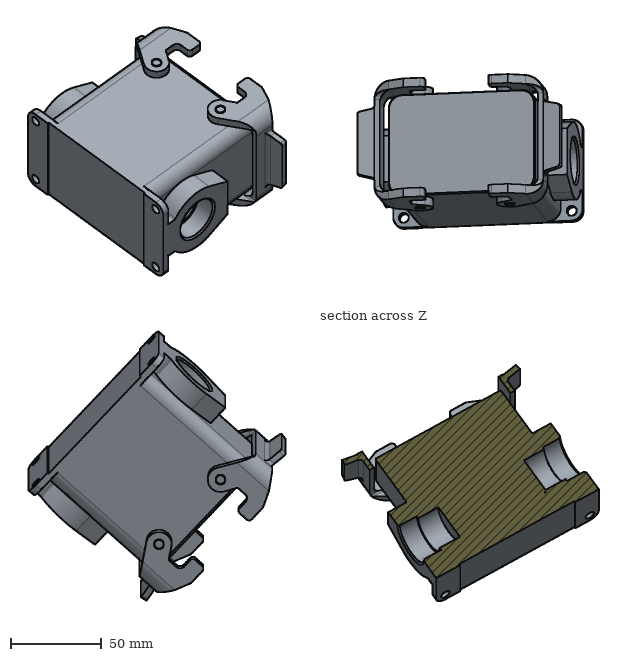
import cadquery as cq
import math

BODY_HALF_WIDTH = 41.0
HALF_DEPTH = 28.5
BODY_HEIGHT = 82.3
BODY_CORNER_RADIUS = 7.4
RIM_HEIGHT = 1.3
RIM_INSET = 0.6

FLANGE_HALF_WIDTH = 53.0
FLANGE_THICKNESS = 4.0
FLANGE_CORNER_RADIUS = 6.0
RELIEF_HALF_WIDTH = 37.5
RELIEF_DEPTH = 0.8
MOUNT_HOLE_DIAMETER = 5.5
MOUNT_HOLE_X = 47.0
MOUNT_HOLE_Z = 23.0

ENTRY_Y = 26.5
ENTRY_RADIUS = 21.5
ENTRY_TOP_Y = 49.8
ENTRY_TOP_HALF_WIDTH = 13.0
ENTRY_FOOT_HALF_WIDTH = 12.6
ENTRY_FOOT_FILLET = 1.0
BORE_DIAMETER = 25.0
BORE_DEPTH = 12.0
BORE_CHAMFER = 1.0
INNER_BORE_DIAMETER = 22.0
INNER_BORE_DEPTH = 25.0

LEVER_OUTER_X = 47.3
LEVER_HALF_DEPTH = 33.5
LEVER_BEND_RADIUS = 9.0
STRAP_THICKNESS = 3.0
STRAP_BOTTOM_Y = 77.6
STRAP_TOP_Y = 90.2
SADDLE_RADIUS = 4.0
STRAP_CORNER_RADIUS = 1.0
SHOULDER_Y = 95.9
HOOK_TOP_X = 29.3
LEVER_TOP_Y = 99.8
HOOK_TIP_X = 18.0
HOOK_UNDERSIDE_Y = 90.6
HOOK_EDGE_RADIUS = 2.0
HOOK_THROAT_X = 28.0
HOOK_THROAT_BASE_Y = 81.9
HOOK_THROAT_RADIUS = 3.0
PIVOT_X = 25.0
PIVOT_Y = 71.85
PIVOT_EYE_RADIUS = 7.0
PIN_DIAMETER = 5.0
PIN_HOLE_DIAMETER = 5.5
PIN_GROOVE_DEPTH = 0.5

GRIP_TIP_X = 57.245
GRIP_TIP_Y = 87.8
GRIP_TILT = 10.0
GRIP_THICKNESS = 3.7
GRIP_ROOT_HALF_WIDTH = 19.9
GRIP_TIP_HALF_WIDTH = 17.5
GRIP_TIP_RADIUS = 1.75
GRIP_ROOT_FILLET = 2.2


def box(x_range, y_range, z_range):
    """Axis-aligned box from (min, max) pairs."""
    size = [high - low for low, high in (x_range, y_range, z_range)]
    return cq.Workplane("XY").box(*size, centered=False).translate(
        (x_range[0], y_range[0], z_range[0])
    )


def with_mirror(right_side):
    """Add the copy of a right-hand feature on the left-hand side."""
    return right_side.union(right_side.mirror("YZ"))


def tangent_point(outside, center, radius, turn):
    """Point where a line from `outside` touches a circle; turn picks the side (+1 or -1)."""
    dx = outside[0] - center[0]
    dy = outside[1] - center[1]
    angle = math.atan2(dy, dx) + turn * math.acos(radius / math.hypot(dx, dy))
    return (center[0] + radius * math.cos(angle), center[1] + radius * math.sin(angle))


def make_body():
    depth = 2 * HALF_DEPTH
    body = (
        box((-BODY_HALF_WIDTH, BODY_HALF_WIDTH), (0, BODY_HEIGHT), (-HALF_DEPTH, HALF_DEPTH))
        .edges("|Y")
        .fillet(BODY_CORNER_RADIUS)
        .faces(">Y")
        .edges()
        .chamfer(RIM_INSET, RIM_HEIGHT)
    )
    flange = (
        box((-FLANGE_HALF_WIDTH, FLANGE_HALF_WIDTH), (0, FLANGE_THICKNESS), (-HALF_DEPTH, HALF_DEPTH))
        .edges("|Y")
        .fillet(FLANGE_CORNER_RADIUS)
    )
    relief = cq.Workplane("XY").box(2 * RELIEF_HALF_WIDTH, 2 * RELIEF_DEPTH, depth)
    return body.union(flange).cut(relief)


def make_mounting_holes():
    return (
        cq.Workplane("XZ")
        .rect(2 * MOUNT_HOLE_X, 2 * MOUNT_HOLE_Z, forConstruction=True)
        .vertices()
        .circle(MOUNT_HOLE_DIAMETER / 2)
        .extrude(-FLANGE_THICKNESS)
    )


def make_entry_boss():
    """Boss on the +X side: round, with a tapered flat-topped hood and a narrow foot."""
    side_y, side_z = tangent_point(
        (ENTRY_TOP_Y, ENTRY_TOP_HALF_WIDTH), (ENTRY_Y, 0), ENTRY_RADIUS, 1
    )
    hood = [
        (ENTRY_Y, 0),
        (side_y, side_z),
        (ENTRY_TOP_Y, ENTRY_TOP_HALF_WIDTH),
        (ENTRY_TOP_Y, -ENTRY_TOP_HALF_WIDTH),
        (side_y, -side_z),
    ]
    section = cq.Workplane("YZ")
    boss = section.center(ENTRY_Y, 0).circle(ENTRY_RADIUS).extrude(FLANGE_HALF_WIDTH)
    boss = boss.union(section.polyline(hood).close().extrude(FLANGE_HALF_WIDTH))
    foot = box(
        (0, FLANGE_HALF_WIDTH),
        (RELIEF_DEPTH, ENTRY_Y),
        (-ENTRY_FOOT_HALF_WIDTH, ENTRY_FOOT_HALF_WIDTH),
    )
    boss = boss.union(foot)
    foot_joint_y = ENTRY_Y - math.sqrt(ENTRY_RADIUS**2 - ENTRY_FOOT_HALF_WIDTH**2)
    for side in (1, -1):
        joint = (FLANGE_HALF_WIDTH / 2, foot_joint_y, side * ENTRY_FOOT_HALF_WIDTH)
        boss = boss.edges(cq.NearestToPointSelector(joint)).fillet(ENTRY_FOOT_FILLET)
    return boss


def make_entry_bore():
    """Blind stepped bore entering the +X boss, with a chamfered mouth."""
    mouth = cq.Workplane("YZ", origin=(FLANGE_HALF_WIDTH, ENTRY_Y, 0))
    bore = mouth.circle(BORE_DIAMETER / 2).extrude(-BORE_DEPTH)
    inner = mouth.circle(INNER_BORE_DIAMETER / 2).extrude(-INNER_BORE_DEPTH)
    chamfer = (
        mouth.circle(BORE_DIAMETER / 2 + BORE_CHAMFER)
        .workplane(offset=-BORE_CHAMFER)
        .circle(BORE_DIAMETER / 2)
        .loft()
    )
    return bore.union(inner).union(chamfer)


def make_lever_blank():
    """Solid hook outline over the full lever depth, with both outer vertical edges bent round."""
    pivot = (PIVOT_X, PIVOT_Y)
    lower_outer = (LEVER_OUTER_X, STRAP_BOTTOM_Y)
    throat_base = (HOOK_THROAT_X, HOOK_THROAT_BASE_Y)
    lower_tangent = tangent_point(lower_outer, pivot, PIVOT_EYE_RADIUS, -1)
    throat_tangent = tangent_point(throat_base, pivot, PIVOT_EYE_RADIUS, 1)
    eye_inner_point = (PIVOT_X - PIVOT_EYE_RADIUS, PIVOT_Y)
    blank = (
        cq.Workplane("XY", origin=(0, 0, -LEVER_HALF_DEPTH))
        .moveTo(*lower_outer)
        .lineTo(LEVER_OUTER_X, STRAP_TOP_Y)
        .lineTo(LEVER_OUTER_X - LEVER_BEND_RADIUS, SHOULDER_Y)
        .lineTo(HOOK_TOP_X, LEVER_TOP_Y)
        .lineTo(HOOK_TIP_X, LEVER_TOP_Y)
        .lineTo(HOOK_TIP_X, HOOK_UNDERSIDE_Y)
        .lineTo(HOOK_THROAT_X, HOOK_UNDERSIDE_Y)
        .lineTo(*throat_base)
        .lineTo(*throat_tangent)
        .threePointArc(eye_inner_point, lower_tangent)
        .close()
        .extrude(2 * LEVER_HALF_DEPTH)
    )
    hook_top = cq.NearestToPointSelector((HOOK_TIP_X, LEVER_TOP_Y, 0))
    hook_bottom = cq.NearestToPointSelector((HOOK_TIP_X, HOOK_UNDERSIDE_Y, 0))
    throat = cq.NearestToPointSelector((HOOK_THROAT_X, HOOK_UNDERSIDE_Y, 0))
    blank = blank.edges("|Z").edges(hook_top).fillet(HOOK_EDGE_RADIUS)
    blank = blank.edges("|Z").edges(hook_bottom).fillet(HOOK_EDGE_RADIUS)
    blank = blank.edges("|Z").edges(throat).fillet(HOOK_THROAT_RADIUS)
    return blank.faces(">X").edges("|Y").edges("<Z or >Z").fillet(LEVER_BEND_RADIUS)


def make_lever_opening():
    """Space between the lever arms: a rounded pocket plus cuts that level the strap's ends."""
    arm_range = (-HALF_DEPTH, HALF_DEPTH)
    pocket = (
        box((0, LEVER_OUTER_X - STRAP_THICKNESS), (0, LEVER_TOP_Y), arm_range)
        .edges("|Y and >X")
        .fillet(LEVER_BEND_RADIUS - STRAP_THICKNESS)
    )
    below = (
        box((0, LEVER_OUTER_X), (0, STRAP_BOTTOM_Y), arm_range)
        .edges("|X and >Y")
        .fillet(STRAP_CORNER_RADIUS)
    )
    saddle = (
        box((0, LEVER_OUTER_X), (STRAP_TOP_Y, LEVER_TOP_Y + SADDLE_RADIUS), arm_range)
        .edges("|X and <Y")
        .fillet(SADDLE_RADIUS)
    )
    return pocket.union(below).union(saddle)


def make_pin_groove(outer_z, direction):
    """Thin ring around a pivot pin, sunk into the outer face of a lever arm."""
    return (
        cq.Workplane("XY", origin=(PIVOT_X, PIVOT_Y, outer_z))
        .circle(PIN_HOLE_DIAMETER / 2)
        .circle(PIN_DIAMETER / 2)
        .extrude(-direction * PIN_GROOVE_DEPTH)
    )


def make_grip():
    """Tapered finger tab whose sides and underside blend into the strap."""
    tilt = math.radians(GRIP_TILT)
    plane = cq.Plane(
        origin=(GRIP_TIP_X, GRIP_TIP_Y, 0),
        xDir=(math.cos(tilt), math.sin(tilt), 0),
        normal=(-math.sin(tilt), math.cos(tilt), 0),
    )
    root = (LEVER_OUTER_X - GRIP_TIP_X) / math.cos(tilt)
    buried = root - STRAP_THICKNESS / 2
    slope = (GRIP_ROOT_HALF_WIDTH - GRIP_TIP_HALF_WIDTH) / -root
    buried_half_width = GRIP_TIP_HALF_WIDTH - slope * buried
    outline = [
        (0, GRIP_TIP_HALF_WIDTH),
        (buried, buried_half_width),
        (buried, -buried_half_width),
        (0, -GRIP_TIP_HALF_WIDTH),
    ]
    tab = cq.Workplane(plane).polyline(outline).close().extrude(GRIP_THICKNESS)
    for side in (1, -1):
        corner = plane.toWorldCoords((0, side * GRIP_TIP_HALF_WIDTH, GRIP_THICKNESS / 2))
        tab = tab.edges(cq.NearestToPointSelector(corner.toTuple())).fillet(GRIP_TIP_RADIUS)
    margin = 1.5 * GRIP_ROOT_FILLET
    reach = GRIP_ROOT_HALF_WIDTH + margin
    base = box(
        (LEVER_OUTER_X - STRAP_THICKNESS, LEVER_OUTER_X),
        (STRAP_BOTTOM_Y, STRAP_TOP_Y + margin),
        (-reach, reach),
    )
    half_slab = 0.01
    inset = GRIP_ROOT_FILLET / 2
    root_edges = cq.selectors.BoxSelector(
        (LEVER_OUTER_X - half_slab, STRAP_BOTTOM_Y + inset, inset - reach),
        (LEVER_OUTER_X + half_slab, STRAP_TOP_Y + inset, reach - inset),
    )
    grip = base.union(tab).edges(root_edges).fillet(GRIP_ROOT_FILLET)
    trim = (
        cq.Workplane(plane)
        .workplane(offset=GRIP_THICKNESS)
        .rect(2 * reach, 2 * reach)
        .extrude(3 * margin)
    )
    return grip.cut(trim)


def make_lever():
    return make_lever_blank().cut(make_lever_opening()).union(make_grip())


result = make_body().union(with_mirror(make_entry_boss()))
result = result.cut(make_mounting_holes()).cut(with_mirror(make_entry_bore()))
result = result.union(with_mirror(make_lever()))
for arm_side in (1, -1):
    result = result.cut(with_mirror(make_pin_groove(arm_side * LEVER_HALF_DEPTH, arm_side)))